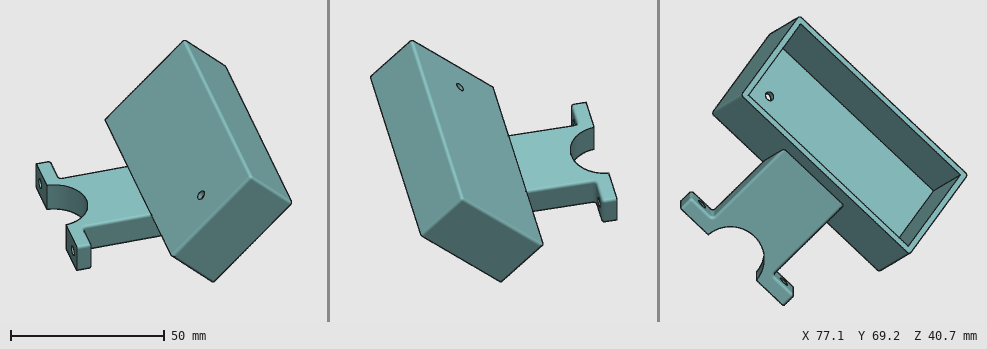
import cadquery as cq
import math

edge_radius = 1.0

housing_width = 77.1
housing_height = 38.4
housing_depth = 19.7
housing_wall = 2.0
housing_tilt = 45.0
window_diameter = 3.0
window_offset_x = 26.5

bracket_offset_x = 1.2
bracket_thickness = 10.0
bracket_front_y = -28.1
arm_width = 27.6
flange_span = 47.25
flange_thickness = 5.0
saddle_radius = 11.0
saddle_depth = 10.2
screw_diameter = 3.2
screw_spacing = 37.4

flange_back_y = bracket_front_y + flange_thickness
saddle_center_y = bracket_front_y + saddle_depth - saddle_radius
arm_end_y = housing_depth * math.sin(math.radians(housing_tilt))


def tilt(body):
    """Turn a body from upright housing axes to its tilted place."""
    return body.rotate((0, 0, 0), (1, 0, 0), housing_tilt)


def make_housing_block():
    """Upright outer block; every edge is rounded except the open back and the edge on the X axis."""
    block = cq.Workplane("XY").box(
        housing_width, housing_height, housing_depth, centered=(True, False, False)
    ).translate((0, 0, -housing_depth))
    front_bottom_edge = cq.selectors.NearestToPointSelector((0, 0, 0))
    rounded = cq.selectors.SubtractSelector(cq.StringSyntaxSelector("not(<Z)"), front_bottom_edge)
    return block.edges(rounded).fillet(edge_radius)


def make_housing():
    """Hollow the block from the back and drill the window through its face."""
    cavity = cq.Workplane("XY").box(
        housing_width - 2 * housing_wall,
        housing_height - 2 * housing_wall,
        housing_depth - housing_wall,
        centered=(True, False, False),
    ).translate((0, housing_wall, -housing_depth))
    window = (
        cq.Workplane("XY")
        .center(window_offset_x, housing_height / 2)
        .circle(window_diameter / 2)
        .extrude(-housing_wall)
    )
    return tilt(make_housing_block().cut(cavity).cut(window))


def make_bracket_blank():
    """T-shaped plate with rounded edges, square only on its two end faces."""
    half_arm = arm_width / 2
    half_span = flange_span / 2
    outline = [
        (-half_span, bracket_front_y),
        (half_span, bracket_front_y),
        (half_span, flange_back_y),
        (half_arm, flange_back_y),
        (half_arm, arm_end_y),
        (-half_arm, arm_end_y),
        (-half_arm, flange_back_y),
        (-half_span, flange_back_y),
    ]
    plate = cq.Workplane("XY").polyline(outline).close().extrude(-bracket_thickness)
    end_faces = plate.faces("<Y or >Y").edges().vals()
    rounded = [
        edge for edge in plate.edges().vals()
        if not any(edge.isSame(end_edge) for end_edge in end_faces)
    ]
    return plate.newObject(rounded).fillet(edge_radius)


def make_bracket():
    """Cut the saddle and screw holes, then trim the arm against the housing."""
    saddle = (
        cq.Workplane("XY")
        .center(0, saddle_center_y)
        .circle(saddle_radius)
        .extrude(-bracket_thickness)
    )
    screw_holes = (
        cq.Workplane("XZ", origin=(0, bracket_front_y, -bracket_thickness / 2))
        .pushPoints([(-screw_spacing / 2, 0), (screw_spacing / 2, 0)])
        .circle(screw_diameter / 2)
        .extrude(-flange_thickness)
    )
    bracket = make_bracket_blank().cut(saddle).cut(screw_holes)
    return bracket.translate((bracket_offset_x, 0, 0)).cut(tilt(make_housing_block()))


housing = make_housing()
bracket = make_bracket()

result = cq.Compound.makeCompound([housing.val(), bracket.val()])